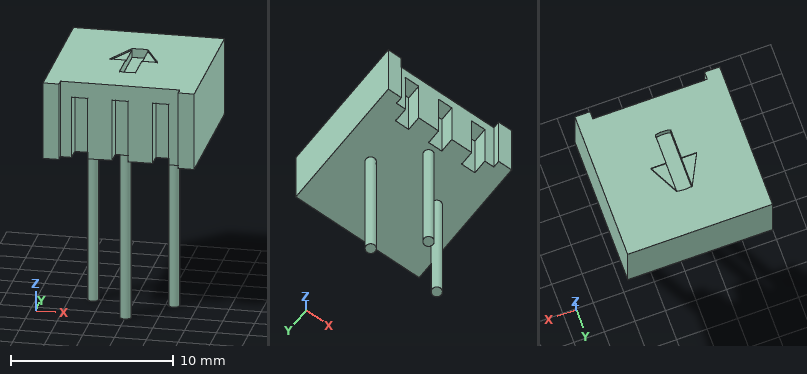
import cadquery as cq
import math

overall_height = 16
body_side = 9.5
body_height = 5.0
corner_foot_width = 1.0
front_recess_depth = 0.5

pin_diameter = 0.7
pin_length = overall_height - body_height
pin_pitch = 2.55
groove_width = 1.0
groove_depth = 1.02
groove_roof = 1.0
groove_height = body_height - groove_roof

rotor_radius = 2.0
slot_width = 1.0
slot_depth = 0.6
arrow_half_width = 1.5
arrow_depth = 0.1

front_y = -body_side / 2
recess_y = front_y + front_recess_depth


def box_on_base(width, depth, height, x, y_front):
    """Box standing on Z = 0, centred at x and starting at y_front."""
    box = cq.Workplane("XY").box(width, depth, height, centered=(True, False, False))
    return box.translate((x, y_front, 0))


def adjuster_slot():
    """Straight slot whose ends follow the rotor circle."""
    disc = cq.Workplane("XY").workplane(offset=body_height).circle(rotor_radius).extrude(-slot_depth)
    bar = cq.Workplane("XY").workplane(offset=body_height)
    bar = bar.rect(slot_width, 2 * rotor_radius).extrude(-slot_depth)
    return disc.intersect(bar)


def arrowhead():
    """Shallow arrowhead meeting the rotor circle at the slot edges."""
    tip_x = slot_width / 2
    tip_y = math.sqrt(rotor_radius**2 - tip_x**2)
    outline = [(-arrow_half_width, 0), (arrow_half_width, 0), (tip_x, tip_y), (-tip_x, tip_y)]
    return cq.Workplane("XY").workplane(offset=body_height).polyline(outline).close().extrude(-arrow_depth)


body = box_on_base(body_side, body_side, body_height, 0, front_y)
recess_width = body_side - 2 * corner_foot_width
body = body.cut(box_on_base(recess_width, front_recess_depth, body_height, 0, front_y))

for x in (-pin_pitch, 0, pin_pitch):
    body = body.cut(box_on_base(groove_width, groove_depth, groove_height, x, recess_y))

body = body.cut(adjuster_slot()).cut(arrowhead())

pin_centres = [(-pin_pitch, 0), (0, -pin_pitch), (pin_pitch, 0)]
pins = cq.Workplane("XY").pushPoints(pin_centres).circle(pin_diameter / 2).extrude(-pin_length)

result = body.union(pins)